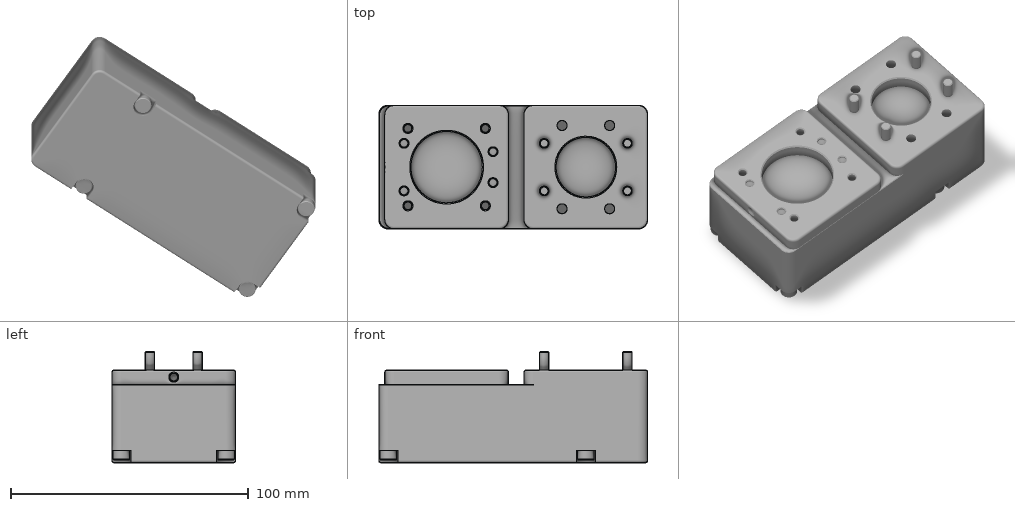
import cadquery as cq
import math

LENGTH = 113.0
WIDTH = 52.0
LOW_HEIGHT = 33.0
PAD_HEIGHT = 39.0
OVERALL_HEIGHT = 46.8

CORNER_RADIUS = 4.0
TOP_FILLET = 1.0
STEP_CHAMFER = 0.3
BASE_FILLET = 1.0

PAD_SIZE = WIDTH
PLATE_LEFT = 2.5
PLATE_CENTER_X = PLATE_LEFT + PAD_SIZE / 2
PAD_CENTER_X = LENGTH - PAD_SIZE / 2
PAD_LEFT = LENGTH - PAD_SIZE
STEP_END_X = PAD_LEFT + CORNER_RADIUS

PLATE_BORE_DIAMETER = 30.0
PAD_BORE_DIAMETER = 25.0
BORE_CHAMFER = 0.5
BORE_DEPTH = PAD_HEIGHT - LOW_HEIGHT

HOLE_DIAMETER = 3.24
HOLE_MOUTH_DIAMETER = 4.2
HOLE_DEPTH = 10.0
BOLT_CIRCLE_DIAMETER = 46.0
BOLT_OFFSET = BOLT_CIRCLE_DIAMETER / 2 * math.cos(math.radians(45))

DIMPLE_DIAMETER = 3.3
DIMPLE_MOUTH_DIAMETER = 4.1
DIMPLE_DEPTH = 0.9
PLATE_LEFT_DIMPLE_OFFSET = 17.9
PLATE_LEFT_DIMPLE_X = PLATE_CENTER_X - PLATE_LEFT_DIMPLE_OFFSET
PLATE_LEFT_DIMPLE_Y = 10.0
PLATE_RIGHT_DIMPLE_OFFSET = 19.5
PLATE_RIGHT_DIMPLE_X = PLATE_CENTER_X + PLATE_RIGHT_DIMPLE_OFFSET
PLATE_RIGHT_DIMPLE_Y = 6.5

NEAR_SPACING = 10.0
FAR_SPACING = 17.5
PLAIN_HOLE_DIAMETER = 4.2
PLAIN_HOLE_DEPTH = 10.0

PIN_DIAMETER = 4.0
PIN_TIP_DIAMETER = 3.3
PIN_CHAMFER = (PIN_DIAMETER - PIN_TIP_DIAMETER) / 2
PIN_ROOT_Z = LOW_HEIGHT

SIDE_HOLE_DEPTH = 6.0
SIDE_HOLE_Z = (LOW_HEIGHT + PAD_HEIGHT) / 2
DRILL_POINT_ANGLE = 118.0

POCKET_RADIUS = 4.0
POCKET_DEPTH = 5.2
HEAD_DIAMETER = 7.0
HEAD_HEIGHT = 4.0
HEAD_CHAMFER = 0.3
SCREW_INSET = 4.0
LEFT_SCREW_X = SCREW_INSET
RIGHT_SCREW_X = PAD_CENTER_X
SCREW_Y = WIDTH / 2 - SCREW_INSET


def rounded_block(left, length, bottom, top):
    """Full-width block with rounded vertical corners."""
    return (
        cq.Workplane("XY", origin=(left + length / 2, 0, bottom))
        .rect(length, WIDTH)
        .extrude(top - bottom)
        .edges("|Z")
        .fillet(CORNER_RADIUS)
    )


def mirrored_points(xs, y):
    """Points at each X, on both sides of the middle plane."""
    return [(x, side * y) for x in xs for side in (-1, 1)]


def pad_points(x_offset, y_offset):
    """Four corners of a rectangle around the pad center."""
    return mirrored_points((PAD_CENTER_X - x_offset, PAD_CENTER_X + x_offset), y_offset)


def countersunk_tool(diameter, mouth_diameter, depth, point_depth=0.0):
    """Cutter pointing down from the origin, with a 45 degree mouth and an optional drill point."""
    radius = diameter / 2
    mouth_radius = mouth_diameter / 2
    profile = (
        cq.Workplane("XZ")
        .lineTo(mouth_radius, 0)
        .lineTo(radius, radius - mouth_radius)
        .lineTo(radius, -depth)
        .lineTo(0, -depth - point_depth)
        .close()
    )
    return profile.revolve(360, (0, 0, 0), (0, 1, 0))


def build_body():
    """Low block with a raised pad on the right and a flange plate on the left."""
    step_cutter = (
        cq.Workplane("XY", origin=(0, 0, LOW_HEIGHT))
        .rect(2 * STEP_END_X, 2 * WIDTH)
        .extrude(PAD_HEIGHT - LOW_HEIGHT)
    )
    body = rounded_block(0, LENGTH, 0, PAD_HEIGHT).faces("<Z").edges().fillet(BASE_FILLET).cut(step_cutter)
    step_face = cq.selectors.NearestToPointSelector((STEP_END_X / 2, 0, LOW_HEIGHT))
    body = body.faces(step_face).edges("not(>X)").chamfer(STEP_CHAMFER)
    pad = rounded_block(PAD_LEFT, PAD_SIZE, LOW_HEIGHT, PAD_HEIGHT)
    plate = rounded_block(PLATE_LEFT, PAD_SIZE, LOW_HEIGHT, PAD_HEIGHT)
    body = body.union(pad).union(plate)
    return body.faces(">Z").edges().fillet(TOP_FILLET)


def cut_bore(body, center_x, diameter):
    tool = countersunk_tool(diameter, diameter + 2 * BORE_CHAMFER, BORE_DEPTH)
    return body.cut(tool.translate((center_x, 0, PAD_HEIGHT)))


def cut_countersunk_holes(body, points, tool):
    for x, y in points:
        body = body.cut(tool.translate((x, y, PAD_HEIGHT)))
    return body


def cut_plain_holes(body, points):
    cutter = (
        cq.Workplane("XY", origin=(0, 0, PAD_HEIGHT))
        .pushPoints(points)
        .circle(PLAIN_HOLE_DIAMETER / 2)
        .extrude(-PLAIN_HOLE_DEPTH)
    )
    return body.cut(cutter)


def cut_side_hole(body):
    point_depth = HOLE_DIAMETER / 2 / math.tan(math.radians(DRILL_POINT_ANGLE / 2))
    tool = countersunk_tool(HOLE_DIAMETER, HOLE_MOUTH_DIAMETER, SIDE_HOLE_DEPTH, point_depth)
    tool = tool.rotate((0, 0, 0), (0, 1, 0), -90)
    return body.cut(tool.translate((PLATE_LEFT, 0, SIDE_HOLE_Z)))


def pins(points, top):
    """Dowel pins with chamfered tips, rooted inside the block."""
    return (
        cq.Workplane("XY", origin=(0, 0, PIN_ROOT_Z))
        .pushPoints(points)
        .circle(PIN_DIAMETER / 2)
        .extrude(top - PIN_ROOT_Z)
        .faces(">Z")
        .chamfer(PIN_CHAMFER)
    )


def pocket_strip(x, y, length_x, length_y):
    """Straight stretch of a pocket, leading out past the side of the block."""
    return cq.Workplane("XY", origin=(x, y, 0)).rect(length_x, length_y).extrude(POCKET_DEPTH)


def cut_screw_pocket(body, x, side, open_left):
    """Pocket around a screw axis, open to the long side and, at the corners, to the left end too."""
    y = side * SCREW_Y
    reach = 2 * SCREW_INSET
    pocket = cq.Workplane("XY", origin=(x, y, 0)).circle(POCKET_RADIUS).extrude(POCKET_DEPTH)
    pocket = pocket.union(pocket_strip(x, y + side * reach / 2, 2 * POCKET_RADIUS, reach))
    if open_left:
        pocket = pocket.union(pocket_strip(x - reach / 2, y, reach, 2 * POCKET_RADIUS))
    return body.cut(pocket)


def add_screw_head(body, x, y):
    head = (
        cq.Workplane("XY", origin=(x, y, POCKET_DEPTH))
        .circle(HEAD_DIAMETER / 2)
        .extrude(-HEAD_HEIGHT)
        .faces("<Z")
        .chamfer(HEAD_CHAMFER)
    )
    return body.union(head)


result = build_body()
result = cut_bore(result, PLATE_CENTER_X, PLATE_BORE_DIAMETER)
result = cut_bore(result, PAD_CENTER_X, PAD_BORE_DIAMETER)

bolt_points = mirrored_points((PLATE_CENTER_X - BOLT_OFFSET, PLATE_CENTER_X + BOLT_OFFSET), BOLT_OFFSET)
bolt_hole_tool = countersunk_tool(HOLE_DIAMETER, HOLE_MOUTH_DIAMETER, HOLE_DEPTH)
result = cut_countersunk_holes(result, bolt_points, bolt_hole_tool)
dimple_points = mirrored_points([PLATE_LEFT_DIMPLE_X], PLATE_LEFT_DIMPLE_Y)
dimple_points += mirrored_points([PLATE_RIGHT_DIMPLE_X], PLATE_RIGHT_DIMPLE_Y)
dimple_tool = countersunk_tool(DIMPLE_DIAMETER, DIMPLE_MOUTH_DIAMETER, DIMPLE_DEPTH)
result = cut_countersunk_holes(result, dimple_points, dimple_tool)
result = cut_plain_holes(result, pad_points(NEAR_SPACING, FAR_SPACING))
result = cut_side_hole(result)
result = result.union(pins(pad_points(FAR_SPACING, NEAR_SPACING), OVERALL_HEIGHT))

for side in (-1, 1):
    for screw_x in (LEFT_SCREW_X, RIGHT_SCREW_X):
        result = cut_screw_pocket(result, screw_x, side, screw_x == LEFT_SCREW_X)
        result = add_screw_head(result, screw_x, side * SCREW_Y)